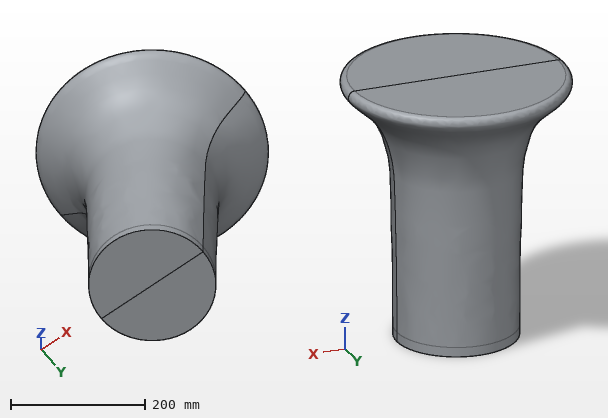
import cadquery as cq

height = 415.0
rim_radius = 173.5
rim_height = 404.5
top_face_radius = 163.5

foot_radius = 95.0
foot_height = 15.5

neck_points = [
    (98.5, 224.0),
    (103.8, 295.5),
    (114.5, 331.0),
    (130.0, 357.7),
    (146.0, 374.0),
]
lip_point = (166.0, 391.5)
rim_upper_point = (170.5, 412.0)

half_turn = 180


def half_profile():
    """Radial section in the XZ plane, closed along the central axis."""
    widest_point = (rim_radius, rim_height)
    top_edge = (top_face_radius, height)
    flare = [*neck_points, lip_point, widest_point, rim_upper_point, top_edge]
    upward = (0, 1)
    inward = (-1, 0)
    return (
        cq.Workplane("XZ")
        .lineTo(foot_radius, 0)
        .lineTo(foot_radius, foot_height)
        .spline(flare, tangents=[upward, inward], includeCurrent=True)
        .lineTo(0, height)
        .close()
    )


def half_body(side_angle):
    """One half of the flared column, turned about Z to its own side."""
    half = half_profile().revolve(half_turn, (0, 0), (0, 1))
    return half.rotate((0, 0, 0), (0, 0, 1), side_angle)


halves = [half_body(side_angle) for side_angle in (0, half_turn)]

result = cq.Compound.makeCompound([half.val() for half in halves])